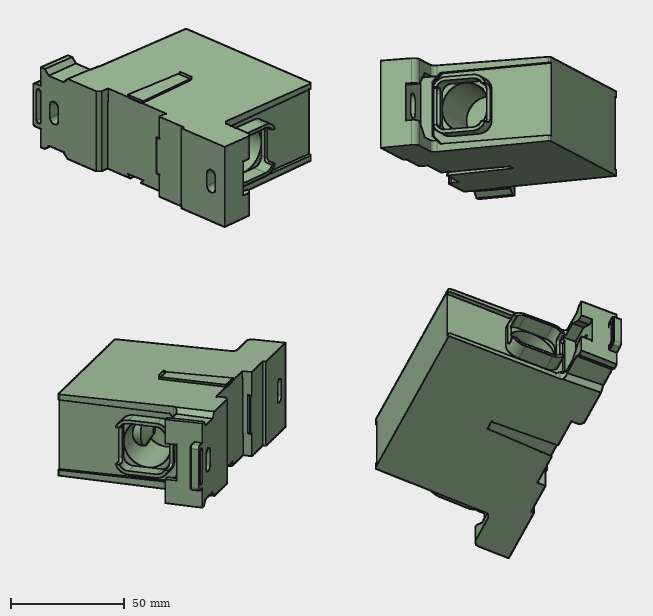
import cadquery as cq

body_height = 73.0
front_half_thickness = 19.6
back_half_thickness = 18.9
body_half_width_low = 38.9
body_half_width_high = 38.5
back_corner_radius = 0.8

foot_half_length = 56.4
foot_height = 17.2
foot_root_radius = 2.3
foot_end_radius = 2.6
screw_slot_x = 48.2
screw_slot_width = 5.2
screw_slot_length = 10.9
pocket_floor_y = 11.9
pocket_mouth_half = 8.3
pocket_half = 14.5
pocket_mouth_depth = 3.0

notch_floor_z = 17.2
notch_start_x = -53.9
notch_end_x = -39.9
notch_lean = 0.88

tab_length = 4.7
tab_half_width = 10.6
tab_thickness = 4.0
tab_corner_radius = 1.5
tab_edge_chamfer = 0.5
tab_slot_x = -57.7
tab_slot_width = 2.6
tab_slot_length = 16.7

channel_left = -20.7
channel_right = 14.9
channel_depth = 5.8
channel_floor_drop = 0.4
channel_chamfer = 1.6
step_right = 30.0
step_depth = 1.4
hook_reach = 1.8
hook_tip_height = 0.4
hook_height = 1.9
hook_half_width = 8.8

rib_x = -3.5
rib_end_y = 37.1
rib_front_width = 9.4
rib_end_width = 7.2
rib_height = 1.4
rib_side_inset = 0.9
lip_length = 1.0
lip_height = 0.6
groove_depth = 1.8
groove_side_inset = 1.5

recess_depth = 2.0
recess_half_low = 16.0
recess_half_high = 16.3
recess_corner = 4.0

collar_y = 32.1
collar_size = 25.3
collar_corner_radius = 6.1
collar_wall = 1.6
collar_rim_low = 44.3
collar_rim_high = 43.9
collar_floor_x = body_half_width_low - recess_depth
rim_cut_depth = 5.4
rim_cut_corner_radius = 1.8
rim_cut_half_width = 8.6

bore_mouth_radius = 10.9
bore_end_radius = 10.0
bore_depth = 25.8
clamp_screw_radius = 7.5
clamp_screw_point_radius = 1.4
clamp_screw_shoulder_y = 38.9
clamp_screw_point_y = 35.1

thickness_taper = (front_half_thickness - back_half_thickness) / body_height
collar_low_y = collar_y - collar_size / 2
collar_high_y = collar_y + collar_size / 2
bore_end_x = collar_floor_x - bore_depth


def half_thickness(y):
    return front_half_thickness - thickness_taper * y


def plate(points, half_z):
    """Outline in X and Y, extruded evenly to both sides of Z = 0."""
    return cq.Workplane("XY").polyline(points).close().extrude(half_z, both=True)


def along_x(points, x_start, x_end):
    """Outline in Y and Z, extruded from x_start to x_end."""
    return cq.Workplane("YZ", origin=(x_start, 0, 0)).polyline(points).close().extrude(x_end - x_start)


def mirrored_outline(upper):
    """Closes an outline given by its +Z half; Z is the second coordinate."""
    return upper + [(position, -z) for position, z in reversed(upper)]


def along_y(points, y_start, y_end):
    """Outline in X and Z, extruded from y_start to y_end."""
    return cq.Workplane("XZ", origin=(0, y_start, 0)).polyline(points).close().extrude(y_start - y_end)


def slot_along_y(centre_x, width, length):
    """Obround through the feet along Y, its long side along Z."""
    return (
        cq.Workplane("XZ", origin=(centre_x, 0, 0))
        .slot2D(length, width, 90)
        .extrude(foot_height, both=True)
    )


def tapered_section(y_a, section_a, y_b, section_b):
    """Straight-sided solid between two X-Z outlines at y_a and y_b."""
    wires = []
    for y, section in ((y_a, section_a), (y_b, section_b)):
        wires.append(cq.Wire.makePolygon([cq.Vector(x, y, z) for x, z in section], close=True))
    return cq.Workplane(cq.Solid.makeLoft(wires, True))


def both_sides(shape):
    """A right-hand shape together with its mirror image on the left."""
    return shape.union(shape.mirror("YZ"))


def body_profile():
    """Tower standing on two feet, at full thickness."""
    right = [
        (foot_half_length, 0),
        (foot_half_length, foot_height),
        (body_half_width_low, foot_height),
        (body_half_width_high, body_height),
    ]
    block = plate(right + [(-x, y) for x, y in reversed(right)], front_half_thickness)
    block = block.edges("|Z and >Y").fillet(back_corner_radius)
    for side in (-1, 1):
        root = cq.selectors.NearestToPointSelector((side * body_half_width_low, foot_height, 0))
        block = block.edges(root).fillet(foot_root_radius)
    foot_end = cq.selectors.NearestToPointSelector((foot_half_length, foot_height, 0))
    return block.edges(foot_end).fillet(foot_end_radius)


def screw_head_pocket():
    """Pocket in the top of the right foot, with a narrow mouth at the foot end."""
    neck_x = foot_half_length - pocket_mouth_depth
    wide_x = neck_x - (pocket_half - pocket_mouth_half)
    upper = [
        (foot_half_length, pocket_mouth_half),
        (neck_x, pocket_mouth_half),
        (wide_x, pocket_half),
        (body_half_width_low, pocket_half),
    ]
    return along_y(mirrored_outline(upper), pocket_floor_y, foot_height + foot_root_radius)


def side_recess():
    """Sunk panel in the right side wall, open at the back and with two cut lower corners."""
    upper = [
        (foot_height, recess_half_low - recess_corner),
        (foot_height + recess_corner, recess_half_low),
        (body_height, recess_half_high),
    ]
    return along_x(mirrored_outline(upper), body_half_width_low - recess_depth, foot_half_length)


def thickness_envelope():
    """Wedge that thins the housing toward the back."""
    upper = [(0, front_half_thickness), (body_height, back_half_thickness)]
    return along_x(mirrored_outline(upper), -foot_half_length, foot_half_length)


def foot_notch():
    """Trapezoid cut-out with a leaning inner flank, on the +Z side of the left foot."""
    depth = front_half_thickness - notch_floor_z
    top_y = foot_height + foot_root_radius

    def section(lean):
        return [
            (notch_start_x, front_half_thickness),
            (notch_start_x + depth, notch_floor_z),
            (notch_end_x - depth + lean, notch_floor_z),
            (notch_end_x + lean, front_half_thickness),
        ]

    return tapered_section(0, section(0), top_y, section(notch_lean * top_y / foot_height))


def rail_channel():
    """Cut for the rail across the mounting face, leaving a small catch on its right wall."""
    channel = plate(
        [
            (channel_left - channel_chamfer, 0),
            (channel_left, channel_chamfer),
            (channel_left, channel_depth),
            (channel_right, channel_depth),
            (channel_right, step_depth),
            (step_right, step_depth),
            (step_right, 0),
        ],
        2 * front_half_thickness,
    )
    hook = plate(
        [
            (channel_right, step_depth),
            (channel_right - hook_reach, step_depth),
            (channel_right - hook_reach, step_depth + hook_tip_height),
            (channel_right, step_depth + hook_height),
        ],
        hook_half_width,
    )
    sloping_floor = along_x(
        [
            (0, front_half_thickness),
            (channel_depth, front_half_thickness),
            (channel_depth - channel_floor_drop, -front_half_thickness),
            (0, -front_half_thickness),
        ],
        channel_left - channel_chamfer,
        step_right,
    )
    return channel.intersect(sloping_floor).cut(hook)


def release_tab():
    """Thin lug on the end of the left foot."""
    end_x = -foot_half_length - tab_length
    return (
        cq.Workplane("XZ", origin=(end_x + tab_length / 2, 0, 0))
        .rect(tab_length, 2 * tab_half_width)
        .extrude(-tab_thickness)
        .edges("|Y and <X")
        .fillet(tab_corner_radius)
        .faces(">Y")
        .edges("<X")
        .chamfer(tab_edge_chamfer)
    )


def dovetail(base_z, top_z, base_inset, top_inset):
    """Tapered bar along Y from the channel, with base and top heights measured from the +Z face."""
    start_y = channel_depth - channel_floor_drop
    sections = []
    for y, width in ((start_y, rib_front_width), (rib_end_y, rib_end_width)):
        face_z = half_thickness(y)
        base = width / 2 - base_inset
        top = width / 2 - top_inset
        sections.append(
            [
                (rib_x - base, face_z + base_z),
                (rib_x + base, face_z + base_z),
                (rib_x + top, face_z + top_z),
                (rib_x - top, face_z + top_z),
            ]
        )
    return tapered_section(start_y, sections[0], rib_end_y, sections[1])


def dovetail_rib():
    """Rib on the +Z face, with a ramped lip at its far end."""
    rib = dovetail(0, rib_height, rib_side_inset, 0)
    lip_base = half_thickness(rib_end_y) + rib_height
    lip = along_x(
        [
            (rib_end_y - lip_length, lip_base),
            (rib_end_y, lip_base),
            (rib_end_y, lip_base + lip_height),
        ],
        rib_x - rib_end_width / 2,
        rib_x + rib_end_width / 2,
    )
    return rib.union(lip)


def dovetail_groove():
    return dovetail(0, -groove_depth, groove_side_inset, 0).mirror("XY")


def rim_cut():
    """Opening with rounded bottom corners through both Y walls of the right-hand collar."""
    bottom_x = collar_rim_low - rim_cut_depth
    upper = [(collar_rim_low, rim_cut_half_width), (bottom_x, rim_cut_half_width)]
    opening = along_y(mirrored_outline(upper), collar_low_y, collar_high_y)
    return opening.edges("|Y and <X").fillet(rim_cut_corner_radius)


def collar():
    """Square collar with rounded corners around the right-hand wire entry."""
    inner_size = collar_size - 2 * collar_wall
    outer = (
        cq.Workplane("YZ", origin=(bore_end_x, collar_y, 0))
        .rect(collar_size, collar_size)
        .extrude(collar_rim_low - bore_end_x)
        .edges("|X")
        .fillet(collar_corner_radius)
    )
    slanted_rim = plate(
        [
            (0, collar_low_y),
            (collar_rim_low, collar_low_y),
            (collar_rim_high, collar_high_y),
            (0, collar_high_y),
        ],
        collar_size,
    )
    inside = (
        cq.Workplane("YZ", origin=(collar_floor_x, collar_y, 0))
        .rect(inner_size, inner_size)
        .extrude(collar_rim_low - collar_floor_x)
        .edges("|X")
        .fillet(collar_corner_radius - collar_wall)
    )
    return outer.intersect(slanted_rim).cut(inside).cut(rim_cut())


def wire_bore():
    """Tapered blind bore with the point of the clamping screw standing in it."""
    bore = (
        cq.Workplane("XY")
        .polyline(
            [
                (bore_end_x, collar_y),
                (collar_floor_x, collar_y),
                (collar_floor_x, collar_y + bore_mouth_radius),
                (bore_end_x, collar_y + bore_end_radius),
            ]
        )
        .close()
        .revolve(360, (0, collar_y, 0), (1, collar_y, 0))
    )
    axis_x = bore_end_x + clamp_screw_radius
    screw = (
        cq.Workplane("XY", origin=(axis_x, 0, 0))
        .polyline(
            [
                (0, clamp_screw_point_y),
                (-clamp_screw_point_radius, clamp_screw_point_y),
                (-clamp_screw_radius, clamp_screw_shoulder_y),
                (-clamp_screw_radius, collar_high_y),
                (0, collar_high_y),
            ]
        )
        .close()
        .revolve(360, (0, 0, 0), (0, 1, 0))
    )
    return bore.cut(screw)


housing = body_profile().cut(both_sides(screw_head_pocket())).cut(both_sides(side_recess()))
housing = housing.intersect(thickness_envelope())
housing = housing.cut(foot_notch()).cut(foot_notch().mirror("XY"))
housing = housing.cut(rail_channel())
housing = housing.union(both_sides(collar())).cut(both_sides(wire_bore()))
housing = housing.union(dovetail_rib()).cut(dovetail_groove())
housing = housing.union(release_tab())
housing = housing.cut(slot_along_y(tab_slot_x, tab_slot_width, tab_slot_length))
for slot_x in (-screw_slot_x, screw_slot_x):
    housing = housing.cut(slot_along_y(slot_x, screw_slot_width, screw_slot_length))
result = housing